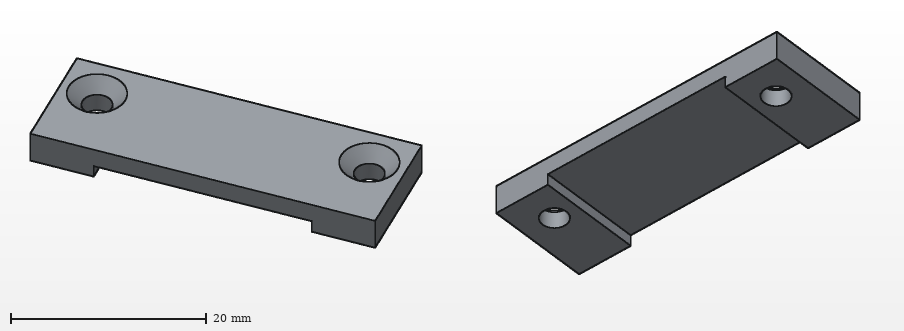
import cadquery as cq

length = 38.0
width = 13.0
thickness = 3.6

foot_length = 7.0
channel_depth = 1.4
channel_length = length - 2 * foot_length

hole_spacing = 30.0
hole_edge_distance = 4.5
hole_diameter = 3.2
countersink_diameter = 6.2
countersink_angle = 90.0
hole_y = width / 2 - hole_edge_distance


def make_plate():
    """Plate centred on X and Y, with its feet resting on Z = 0."""
    return cq.Workplane("XY").box(length, width, thickness, centered=(True, True, False))


def cut_channel(body):
    """Cut the channel across the full width of the underside."""
    channel = cq.Workplane("XY").box(
        channel_length, width, channel_depth, centered=(True, True, False)
    )
    return body.cut(channel)


def cut_screw_holes(body):
    """Drill a countersunk through hole above each foot."""
    hole_centers = [(side * hole_spacing / 2, hole_y) for side in (-1, 1)]
    return (
        body.faces(">Z")
        .workplane(origin=(0, 0, thickness))
        .pushPoints(hole_centers)
        .cskHole(hole_diameter, countersink_diameter, countersink_angle)
    )


result = cut_screw_holes(cut_channel(make_plate()))